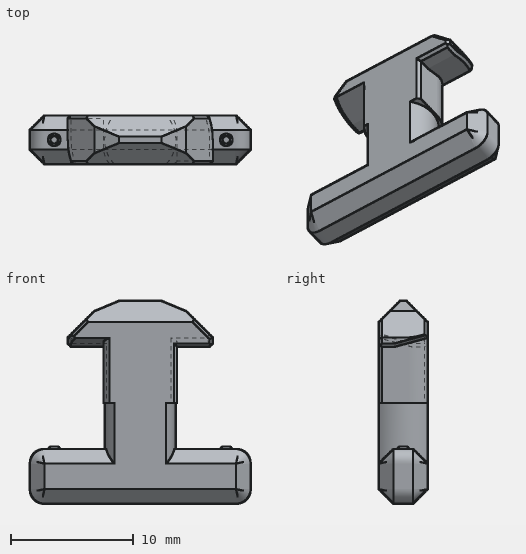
import cadquery as cq
import math

length = 18.0
depth = 4.0
height = 16.55
half_length = length / 2
half_depth = depth / 2

bar_height = 4.48
bar_bevel = 1.2
pip_offset = 7.0
pip_base_radius = 0.5
pip_top_radius = 0.3
pip_height = 0.2

neck_radius = 2.9
neck_top = 8.2
stem_half_width = 3.0
stem_face_edge = 2.48
stem_arc_start = 0.52
edge_bevel = 0.27

head_half_length = 5.9
head_bottom = 12.78
ridge_half_length = 1.71
ridge_half_depth = 0.25
shoulder_half_length = 3.75
shoulder_height = 15.7
end_slope_bottom = shoulder_height - (head_half_length - shoulder_half_length)
eave_height = height - (half_depth - ridge_half_depth)
ramp_start = 0.72
ramp_angle = 15.0


def with_half_turn(half):
    """Join a half with its copy turned 180 degrees about Z."""
    return half.union(half.rotate((0, 0, 0), (0, 0, 1), 180))


def make_bar():
    """Bar with 45 degree bevels all round and conical corners."""
    inner_x = half_length - bar_bevel
    inner_y = half_depth - bar_bevel
    upper_z = bar_height - bar_bevel
    beam = cq.Workplane("YZ").rect(depth, bar_height).extrude(inner_x, both=True)
    beam = beam.edges("|X").chamfer(bar_bevel).translate((0, 0, bar_height / 2))
    ends = cq.Workplane("XY").rect(length, depth).extrude(upper_z - bar_bevel)
    ends = ends.edges("|Z").chamfer(bar_bevel).translate((0, 0, bar_bevel))
    bar = beam.union(ends)
    corner = (
        cq.Workplane("XY")
        .polyline([(0, -half_depth), (bar_bevel, -inner_y), (bar_bevel, inner_y), (0, half_depth)])
        .close()
        .revolve(90, (0, 0, 0), (0, -1, 0))
    )
    corner_places = [
        (inner_x, upper_z),
        (-inner_x, upper_z),
        (-inner_x, bar_bevel),
        (inner_x, bar_bevel),
    ]
    for quarter, (x, z) in enumerate(corner_places):
        turned = corner.rotate((0, 0, 0), (0, -1, 0), 90 * quarter)
        bar = bar.union(turned.translate((x, 0, z)))
    return bar


def make_pip(x):
    """Tapered pip on top of the bar."""
    cone = cq.Solid.makeCone(pip_base_radius, pip_top_radius, pip_height)
    return cq.Workplane(obj=cone.translate(cq.Vector(x, 0, bar_height)))


def make_neck():
    """Round lower stem with flat front and back."""
    neck = cq.Workplane("XY").workplane(offset=bar_bevel).circle(neck_radius)
    slab = cq.Workplane("XY").box(length, depth, 2 * height)
    return neck.extrude(neck_top - bar_bevel).intersect(slab)


def make_stem():
    """Upper stem: each side is part flat with a bevel, part tangent arc."""
    arc_x = stem_half_width - stem_face_edge
    arc_y = half_depth - stem_arc_start
    radius = (arc_x**2 + arc_y**2) / (2 * arc_x)
    sweep = math.asin(arc_y / radius) / 2
    arc_middle = (
        -stem_half_width + radius * (1 - math.cos(sweep)),
        -stem_arc_start - radius * math.sin(sweep),
    )
    half = (
        cq.Workplane("XY")
        .workplane(offset=neck_top)
        .moveTo(0, half_depth)
        .lineTo(-stem_half_width + edge_bevel, half_depth)
        .lineTo(-stem_half_width, half_depth - edge_bevel)
        .lineTo(-stem_half_width, -stem_arc_start)
        .threePointArc(arc_middle, (-stem_face_edge, -half_depth))
        .lineTo(0, -half_depth)
        .close()
        .extrude(end_slope_bottom - neck_top)
    )
    return with_half_turn(half)


def make_head_block():
    """Left half of the head: one rounded corner, ramped underside, bevelled lower rim."""
    corner_x = -math.sqrt(head_half_length**2 - half_depth**2)
    sweep = math.asin(half_depth / head_half_length) / 2
    arc_middle = (-head_half_length * math.cos(sweep), -head_half_length * math.sin(sweep))
    block = (
        cq.Workplane("XY")
        .workplane(offset=head_bottom)
        .moveTo(0, half_depth)
        .lineTo(-head_half_length, half_depth)
        .lineTo(-head_half_length, 0)
        .threePointArc(arc_middle, (corner_x, -half_depth))
        .lineTo(0, -half_depth)
        .close()
        .extrude(height - head_bottom)
    )
    ramp_rise = (ramp_start + half_depth) * math.tan(math.radians(ramp_angle))
    ramp = (
        cq.Workplane("YZ")
        .polyline(
            [
                (ramp_start, head_bottom),
                (-half_depth, head_bottom),
                (-half_depth, head_bottom + ramp_rise),
            ]
        )
        .close()
        .extrude(-length)
    )
    block = block.cut(ramp)
    end_zone = cq.selectors.BoxSelector(
        (-length, -half_depth + edge_bevel, 0),
        (-stem_half_width, length, head_bottom + ramp_rise),
    )
    end_rim = block.edges(end_zone).edges("not(|Z)")
    back_rim = block.faces("<Z").edges(">Y")
    return end_rim.add(back_rim).chamfer(edge_bevel)


def make_head_envelope():
    """Left half of the head's sloping top and bevelled end."""
    profile = (
        cq.Workplane("XZ")
        .polyline(
            [
                (0, head_bottom),
                (-head_half_length, head_bottom),
                (-head_half_length, end_slope_bottom),
                (-shoulder_half_length, shoulder_height),
                (-ridge_half_length, height),
                (0, height),
            ]
        )
        .close()
        .extrude(half_depth, both=True)
    )
    end_edges = profile.faces("<X").edges(">Y")
    slope_x = -(head_half_length + shoulder_half_length) / 2
    slope_z = (end_slope_bottom + shoulder_height) / 2
    for side in (-half_depth, half_depth):
        slope_edge = cq.selectors.NearestToPointSelector((slope_x, side, slope_z))
        end_edges = end_edges.add(profile.edges(slope_edge))
    profile = end_edges.chamfer(edge_bevel)
    roof = (
        cq.Workplane("YZ")
        .polyline(
            [
                (-half_depth, head_bottom),
                (-half_depth, eave_height),
                (-ridge_half_depth, height),
                (ridge_half_depth, height),
                (half_depth, eave_height),
                (half_depth, head_bottom),
            ]
        )
        .close()
        .extrude(-length)
    )
    return profile.intersect(roof)


head = with_half_turn(make_head_block().intersect(make_head_envelope()))
result = make_bar().union(make_neck()).union(make_stem()).union(head)
for pip_x in (-pip_offset, pip_offset):
    result = result.union(make_pip(pip_x))